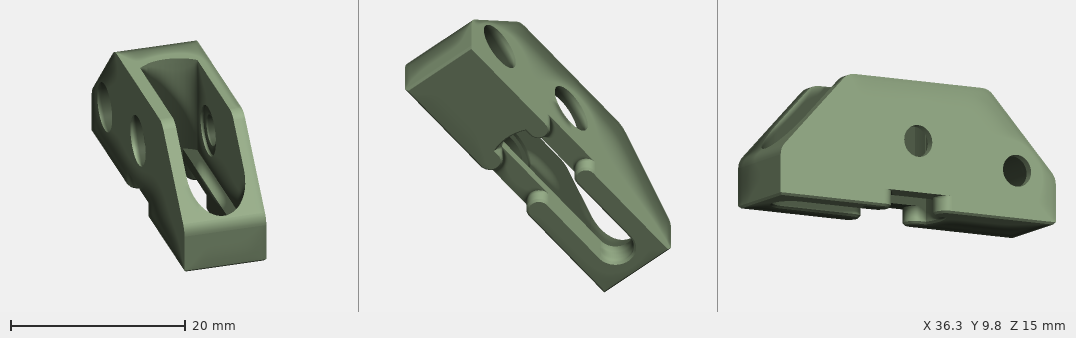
import cadquery as cq
import math

length = 36.33
width = 9.8
height = 15.0
shoulder_height = 5.45
top_inset = 8.9
corner_radius = 2.0
bottom_chamfer = 0.25

slot_width = 6.85
lower_slot_width = 4.25
slot_center_y = 0.07
lower_slot_center_y = -0.1
slot_end_x = 32.15
ledge_height = 3.35
slot_left_radius = 5.38
slot_left_center_x = length / 2 - 0.15
back_wall_thickness = (width - slot_width) / 2 - slot_center_y

notch_gap = 6.0
notch_height = 2.0
mean_rail_width = (width - lower_slot_width) / 2
front_rail_width = mean_rail_width + lower_slot_center_y
back_rail_width = mean_rail_width - lower_slot_center_y

through_diameter = 3.7
pivot_x = length / 2
pivot_z = 8.0
pivot_bore_diameter = 6.0
pin_x = 5.12
pin_z = 5.78
pin_bore_diameter = 5.8
bore_recess = 0.35
bore_depth = width - back_wall_thickness + bore_recess


def make_body():
    outline = [
        (0, 0),
        (length, 0),
        (length, shoulder_height),
        (length - top_inset, height),
        (top_inset, height),
        (0, shoulder_height),
    ]
    body = cq.Workplane("XZ").polyline(outline).close().extrude(width / 2, both=True)
    raised_corners = cq.selectors.BoxSelector(
        (-0.35, -width, shoulder_height / 2), (length + 0.35, width, height + 0.35)
    )
    return body.edges("|Y").edges(raised_corners).fillet(corner_radius)


def make_slot(opening, center_y, bottom, top):
    """Slot with a round right end and a shallow arc at its left end."""
    half = opening / 2
    left_corner_x = slot_left_center_x - math.sqrt(slot_left_radius**2 - half**2)
    return (
        cq.Workplane("XY", origin=(0, center_y, bottom))
        .moveTo(left_corner_x, -half)
        .lineTo(slot_end_x, -half)
        .threePointArc((slot_end_x + half, 0), (slot_end_x, half))
        .lineTo(left_corner_x, half)
        .threePointArc((slot_left_center_x - slot_left_radius, 0), (left_corner_x, -half))
        .close()
        .extrude(top - bottom)
    )


def make_rail_gap(center_y, gap_width):
    """Gap in one rail, leaving a full-round rail end on each side."""
    half_span = (notch_gap + gap_width) / 2
    gap = cq.Workplane("XY").box(
        2 * half_span, gap_width, notch_height, centered=(True, True, False)
    )
    rail_ends = (
        cq.Workplane("XY")
        .pushPoints([(-half_span, 0), (half_span, 0)])
        .circle(gap_width / 2)
        .extrude(notch_height)
    )
    return gap.cut(rail_ends).translate((length / 2, center_y, 0))


def make_stepped_hole(x, z, bore_diameter):
    """Hole through the full width, with a wide bore that ends inside the back wall."""
    front = cq.Workplane("XZ", origin=(x, -width / 2, z))
    through = front.circle(through_diameter / 2).extrude(-width)
    bore = front.circle(bore_diameter / 2).extrude(-bore_depth)
    return through.union(bore)


result = (
    make_body()
    .cut(make_slot(lower_slot_width, lower_slot_center_y, 0, height))
    .cut(make_slot(slot_width, slot_center_y, ledge_height, height))
    .cut(make_rail_gap((front_rail_width - width) / 2, front_rail_width))
    .cut(make_rail_gap((width - back_rail_width) / 2, back_rail_width))
    .faces("<Z")
    .edges()
    .chamfer(bottom_chamfer)
    .cut(make_stepped_hole(pivot_x, pivot_z, pivot_bore_diameter))
    .cut(make_stepped_hole(pin_x, pin_z, pin_bore_diameter))
)